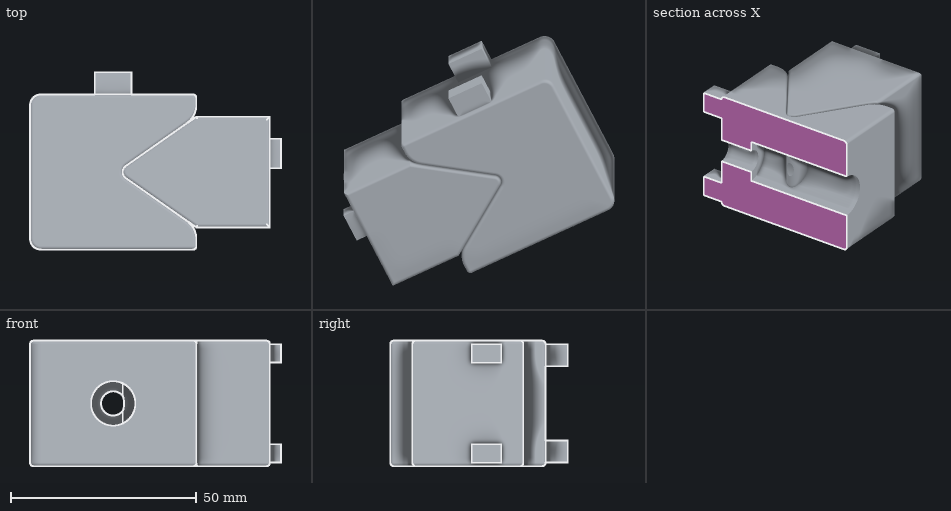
import cadquery as cq
import math

HEIGHT = 34.0
EDGE_RADIUS = 1.0
FLANK_ANGLE = math.radians(35.0)
TIP_RADIUS = 2.0

HOUSING_LENGTH = 45.0
HOUSING_WIDTH = 42.0
BACK_CORNER_RADIUS = 3.0
MOUTH_RADIUS = 6.0
MID_Y = HOUSING_WIDTH / 2
BOLT_X = HOUSING_LENGTH / 2
BOLT_DIAMETER = 6.5
COUNTERBORE_DIAMETER = 12.0
COUNTERBORE_DEPTH = 32.0

WEDGE_WIDTH = 30.0
WEDGE_END_X = 64.87
FLANK_LOW_Y = MID_Y - WEDGE_WIDTH / 2
FLANK_HIGH_Y = MID_Y + WEDGE_WIDTH / 2
FLANK_LENGTH_X = WEDGE_WIDTH / 2 / math.tan(FLANK_ANGLE)
APEX_X = HOUSING_LENGTH - FLANK_LENGTH_X
TIP_X = APEX_X + TIP_RADIUS / math.sin(FLANK_ANGLE) - TIP_RADIUS

RELIEF_RADIUS = COUNTERBORE_DIAMETER / 2
RELIEF_DEPTH = 0.35

HOUSING_KEY_LENGTH = 10.0
HOUSING_KEY_REACH = 6.0
HOUSING_KEY_HEIGHT = 6.0
WEDGE_KEY_LENGTH = 8.0
WEDGE_KEY_REACH = 3.0
WEDGE_KEY_HEIGHT = 5.0
WEDGE_KEY_OFFSET = 5.0
KEY_END_GAP = 1.0

SELECT_MARGIN = 0.01


def upright_edge(x, y):
    """Selector for the upright edge through (x, y)."""
    return cq.selectors.BoxSelector(
        (x - SELECT_MARGIN, y - SELECT_MARGIN, 0),
        (x + SELECT_MARGIN, y + SELECT_MARGIN, HEIGHT),
    )


def cylinder_along_y(x, radius, length):
    """Cylinder at mid height, running from the -Y face of the housing toward +Y."""
    return cq.Workplane("XZ").center(x, HEIGHT / 2).circle(radius).extrude(-length)


def add_keys(body, x_min, y_min, x_size, y_size, z_size):
    """Join one key near the bottom and one near the top of the body."""
    for z_min in (KEY_END_GAP, HEIGHT - KEY_END_GAP - z_size):
        key = cq.Workplane("XY").box(x_size, y_size, z_size, centered=False)
        body = body.union(key.translate((x_min, y_min, z_min)))
    return body


def round_rims(body):
    """Round the top and bottom rims."""
    return body.faces("<Z or >Z").edges().fillet(EDGE_RADIUS)


def make_housing():
    """Block with a V notch in its +X end, a counterbored cross bolt hole and two keys."""
    body = (
        cq.Workplane("XY")
        .moveTo(0, 0)
        .lineTo(HOUSING_LENGTH, 0)
        .lineTo(HOUSING_LENGTH, FLANK_LOW_Y)
        .lineTo(APEX_X, MID_Y)
        .lineTo(HOUSING_LENGTH, FLANK_HIGH_Y)
        .lineTo(HOUSING_LENGTH, HOUSING_WIDTH)
        .lineTo(0, HOUSING_WIDTH)
        .close()
        .extrude(HEIGHT)
    )
    for y in (0, HOUSING_WIDTH):
        body = body.edges(upright_edge(0, y)).fillet(BACK_CORNER_RADIUS)
        body = body.edges(upright_edge(HOUSING_LENGTH, y)).fillet(EDGE_RADIUS)
    for y in (FLANK_LOW_Y, FLANK_HIGH_Y):
        body = body.edges(upright_edge(HOUSING_LENGTH, y)).fillet(MOUTH_RADIUS)
    body = body.edges(upright_edge(APEX_X, MID_Y)).fillet(TIP_RADIUS)
    body = round_rims(body)

    body = body.cut(cylinder_along_y(BOLT_X, BOLT_DIAMETER / 2, HOUSING_WIDTH))
    body = body.cut(cylinder_along_y(BOLT_X, COUNTERBORE_DIAMETER / 2, COUNTERBORE_DEPTH))

    return add_keys(
        body,
        BOLT_X - HOUSING_KEY_LENGTH / 2,
        HOUSING_WIDTH,
        HOUSING_KEY_LENGTH,
        HOUSING_KEY_REACH,
        HOUSING_KEY_HEIGHT,
    )


def make_wedge():
    """Pointed block that seats on the flanks of the notch, with a tip relief and two keys on its +X end."""
    body = (
        cq.Workplane("XY")
        .moveTo(APEX_X, MID_Y)
        .lineTo(HOUSING_LENGTH, FLANK_LOW_Y)
        .lineTo(WEDGE_END_X, FLANK_LOW_Y)
        .lineTo(WEDGE_END_X, FLANK_HIGH_Y)
        .lineTo(HOUSING_LENGTH, FLANK_HIGH_Y)
        .close()
        .extrude(HEIGHT)
    )
    body = body.edges(upright_edge(APEX_X, MID_Y)).fillet(TIP_RADIUS)
    body = round_rims(body)

    relief_x = TIP_X + RELIEF_DEPTH - RELIEF_RADIUS
    body = body.cut(cylinder_along_y(relief_x, RELIEF_RADIUS, HOUSING_WIDTH))

    return add_keys(
        body,
        WEDGE_END_X,
        MID_Y + WEDGE_KEY_OFFSET - WEDGE_KEY_LENGTH / 2,
        WEDGE_KEY_REACH,
        WEDGE_KEY_LENGTH,
        WEDGE_KEY_HEIGHT,
    )


housing = make_housing()
wedge = make_wedge()

result = cq.Compound.makeCompound([housing.val(), wedge.val()])